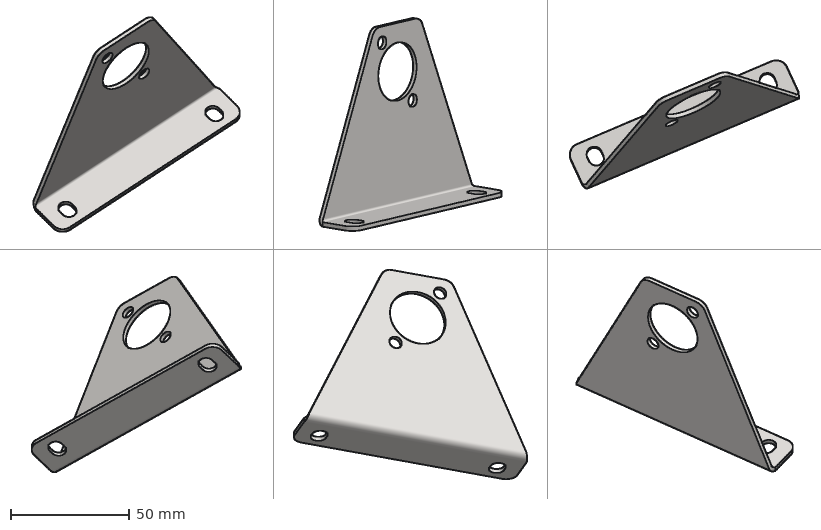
import cadquery as cq

length = 100.0
depth = 20.0
height = 80.0
thickness = 2.0
inner_bend_radius = 1.0
outer_bend_radius = inner_bend_radius + thickness
half_length = length / 2

wall_top_width = 30.0
wall_base_width = 97.4
corner_radius = 5.0

bore_diameter = 25.0
bore_height = 59.0
screw_diameter = 5.5
screw_offset_y = 10.0
screw_offset_z = 14.0

slot_width = 6.5
slot_length = 8.5
slot_x = 12.0
slot_spacing = 80.0


def make_wall():
    """Upright trapezoid with rounded top corners, a bore and two screw holes."""
    base_half = wall_base_width / 2
    top_half = wall_top_width / 2
    wall = (
        cq.Workplane("YZ")
        .moveTo(-base_half, outer_bend_radius)
        .lineTo(base_half, outer_bend_radius)
        .lineTo(top_half, height)
        .lineTo(-top_half, height)
        .close()
        .extrude(thickness)
        .edges("|X and >Z")
        .fillet(corner_radius)
    )
    bore = (
        cq.Workplane("YZ")
        .center(0, bore_height)
        .circle(bore_diameter / 2)
        .extrude(thickness)
    )
    screw_holes = (
        cq.Workplane("YZ")
        .center(0, bore_height)
        .pushPoints([(-screw_offset_y, screw_offset_z), (screw_offset_y, -screw_offset_z)])
        .circle(screw_diameter / 2)
        .extrude(thickness)
    )
    return wall.cut(bore).cut(screw_holes)


def make_foot():
    """Flat foot with rounded free corners and two slots."""
    foot = (
        cq.Workplane("XY")
        .moveTo(outer_bend_radius, -half_length)
        .rect(depth - outer_bend_radius, length, centered=False)
        .extrude(thickness)
        .edges("|Z and >X")
        .fillet(corner_radius)
    )
    slots = (
        cq.Workplane("XY")
        .pushPoints([(slot_x, side * slot_spacing / 2) for side in (-1, 1)])
        .slot2D(slot_length, slot_width)
        .extrude(thickness)
    )
    return foot.cut(slots)


def make_bend():
    """Quarter-round bend whose ends taper helically from foot length to wall width."""
    bend_axis = (outer_bend_radius, outer_bend_radius)
    full_ring = (
        cq.Workplane("XZ", origin=(0, half_length, 0))
        .center(*bend_axis)
        .circle(outer_bend_radius)
        .circle(inner_bend_radius)
        .extrude(length)
    )
    quarter = cq.Workplane("XY").box(
        outer_bend_radius, length, outer_bend_radius, centered=(False, True, False)
    )
    bend = full_ring.intersect(quarter)

    taper = (length - wall_base_width) / 2
    cutter_size = 2 * outer_bend_radius
    end_cutter = (
        cq.Workplane("XZ", origin=(outer_bend_radius, -wall_base_width / 2, outer_bend_radius))
        .rect(-cutter_size, cutter_size, centered=False)
        .twistExtrude(taper, 90)
    )
    return bend.cut(end_cutter).cut(end_cutter.mirror("XZ"))


result = make_wall().union(make_bend()).union(make_foot())